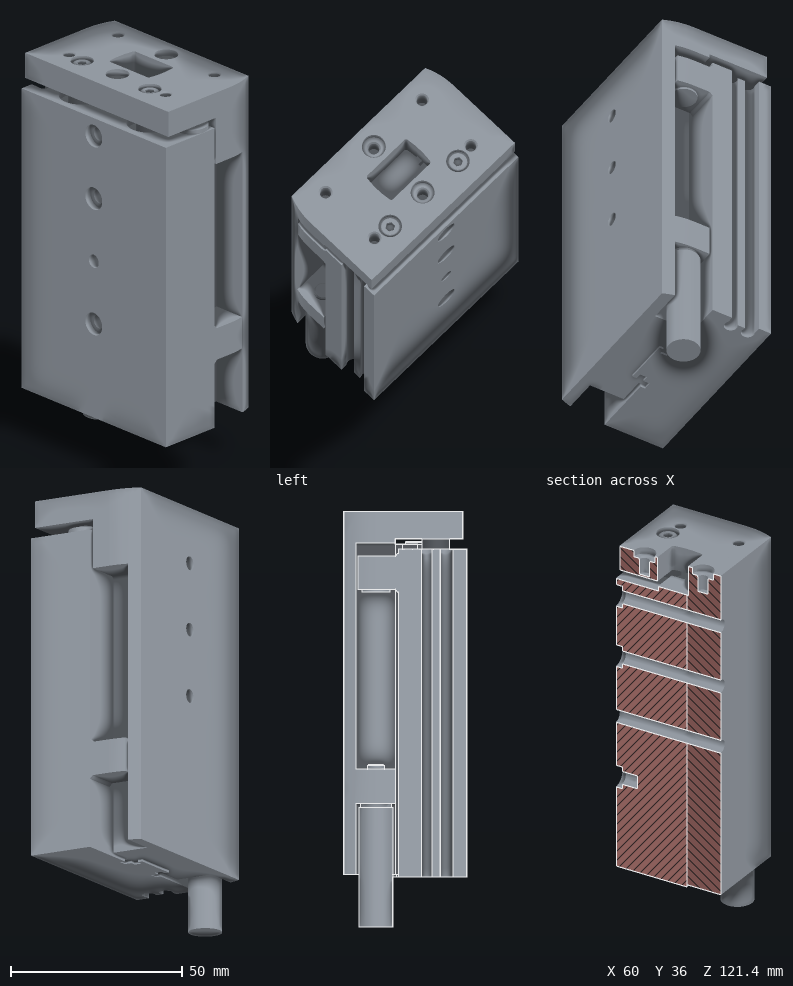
import cadquery as cq
import math

TOTAL_HEIGHT = 121.4
TOTAL_DEPTH = 36.0

HOUSING_HALF_WIDTH = 30.0
HOUSING_DEPTH = 20.0
HOUSING_BOTTOM = 14.6
HOUSING_TOP = 110.4

TABLE_HALF_WIDTH = 29.7
TABLE_FRONT = 20.9
TABLE_BOTTOM = 15.3
BACK_PLATE_FRONT = 32.4
END_PLATE_FRONT = 1.2
END_PLATE_BOTTOM = TOTAL_HEIGHT - 8.0
SIDE_ARC_START = 26.6
SIDE_ARC_RADIUS = 23.4

CORE_HALF_WIDTH = 18.1
LIP_HALF_WIDTH = 9.7
LIP_FRONT = 18.8
LIP_CLEARANCE = 0.4
POCKET_FILLET = 1.0
POCKET_TOP = 112.2
BRACKET_TOP = 46.1
BRACKET_BOTTOM = 36.0
POCKET_OUTER = TABLE_HALF_WIDTH + 1.2

STOP_TOP = 108.3
STOP_BOTTOM = 98.6
STOP_BACK = 31.8
STOP_INNER = 18.9
STOP_WEB = 1.0
BUMPER_DIAMETER = 8.1
BUMPER_HEIGHT = 0.7

RAIL_HALF_WIDTH = 7.5
RAIL_NECK_HALF_WIDTH = 5.6
RAIL_FRONT = 14.5
RAIL_BACK = 24.4
RAIL_TOP = 111.8
BALL_GROOVE_FRONT = 20.6
BALL_GROOVE_BACK = 23.0
WINDOW_FRONT = 14.3
WINDOW_BACK = 24.8
WINDOW_HALF_WIDTH = 8.3
WINDOW_BULGE_HALF_WIDTH = 8.7
WINDOW_CORNER_RADIUS = 0.7

SLOT_BAND_FRONT = 4.1
SLOT_BAND_BACK = 13.4
SLOT_BAND_DEPTH = 2.0
FRONT_SLOT_WIDTH = 3.6
BACK_SLOT_WIDTH = 3.2
SLOT_BORE_DIAMETER = 4.0
SLOT_BORE_INSET = 3.3

HOLE_PITCH = 20.0
HOLE_DIAMETER = 4.1
COUNTERBORE_DIAMETER = 7.0
COUNTERBORE_DEPTH = 2.1
MOUNT_TOP_Z = 104.6
MOUNT_BLIND_DEPTH = 7.3
TAP_DIAMETER = 3.3
TAP_DEPTH = 7.3
PLATE_HOLE_FRONT_Y = 9.7

ROD_X = 14.1
ROD_Y = 9.1
ROD_DIAMETER = 8.1
ROD_BOTTOM = 60.7
ROD_NECK_DIAMETER = 5.5
ROD_NECK_TOP = TOTAL_HEIGHT - 0.7
ROD_POCKET_DIAMETER = 6.9
ROD_POCKET_DEPTH = 1.7
HEX_ACROSS_FLATS = 2.5
HEX_DEPTH = 2.0
ROD_NECK_CHAMFER = 0.2
GLAND_DIAMETER = 13.6
GLAND_DEPTH = 2.4

ADJUSTER_DIAMETER = 10.0
ADJUSTER_SHANK_DIAMETER = 5.0
BARREL_NECK_DIAMETER = 9.0
BARREL_NECK_HEIGHT = 1.2
SHANK_CHAMFER = 0.4
LONG_ADJUSTER_X = -24.4
LONG_ADJUSTER_Y = 26.6
LONG_ADJUSTER_TIP = 47.5
SHORT_ADJUSTER_X = 24.9
SHORT_ADJUSTER_Y = 15.5
SHORT_ADJUSTER_BOTTOM = 99.5
SHORT_COLLAR_TOP = 111.7
SHORT_ADJUSTER_TIP = 112.7


def box(x0, x1, y0, y1, z0, z1):
    """Box given by its limits along X, Y and Z."""
    return cq.Workplane("XY").box(x1 - x0, y1 - y0, z1 - z0, centered=False).translate((x0, y0, z0))


def cylinder(x, y, diameter, z0, z1):
    """Upright cylinder between two heights."""
    return cq.Workplane("XY", origin=(x, y, z0)).circle(diameter / 2).extrude(z1 - z0)


def side_x(half_width, y):
    """Half width of the rounded side profile at depth y."""
    offset = y - SIDE_ARC_START
    return half_width - SIDE_ARC_RADIUS + math.sqrt(SIDE_ARC_RADIUS**2 - offset**2)


def rounded_slab(half_width, inner_x, y0, y1, z0, z1):
    """Upright slab from inner_x to the rounded +X side."""
    y_mid = (SIDE_ARC_START + y1) / 2
    return (
        cq.Workplane("XY", origin=(0, 0, z0))
        .moveTo(inner_x, y0)
        .lineTo(half_width, y0)
        .lineTo(half_width, SIDE_ARC_START)
        .threePointArc((side_x(half_width, y_mid), y_mid), (side_x(half_width, y1), y1))
        .lineTo(inner_x, y1)
        .close()
        .extrude(z1 - z0)
    )


def mirrored(shape):
    """Copy of a shape on the opposite X side."""
    return shape.mirror("YZ")



def stop_arm(z0, z1):
    """Arm on the +X side that reaches back into a table pocket, with small webs at its root."""
    arm = rounded_slab(HOUSING_HALF_WIDTH, STOP_INNER, HOUSING_DEPTH, STOP_BACK, z0, z1)
    web = (
        cq.Workplane("YZ", origin=(STOP_INNER, 0, 0))
        .moveTo(HOUSING_DEPTH, z0 - STOP_WEB)
        .lineTo(HOUSING_DEPTH + STOP_WEB, z0)
        .lineTo(HOUSING_DEPTH + STOP_WEB, z1)
        .lineTo(HOUSING_DEPTH, z1 + STOP_WEB)
        .close()
        .extrude(HOUSING_HALF_WIDTH - STOP_INNER)
    )
    return arm.union(web)


def guide_rail(z0, z1):
    """Stretch of the rail profile, with a ball groove on each side."""
    rail = box(-RAIL_HALF_WIDTH, RAIL_HALF_WIDTH, RAIL_FRONT, RAIL_BACK, z0, z1)
    groove = box(
        RAIL_NECK_HALF_WIDTH, RAIL_HALF_WIDTH, BALL_GROOVE_FRONT, BALL_GROOVE_BACK, z0, z1
    )
    return rail.cut(groove).cut(mirrored(groove))


def sensor_slots():
    """Shallow band on the -X side with two round-bottomed slots in it."""
    outer = -HOUSING_HALF_WIDTH
    slots = box(
        outer, outer + SLOT_BAND_DEPTH, SLOT_BAND_FRONT, SLOT_BAND_BACK, HOUSING_BOTTOM, HOUSING_TOP
    )
    bore_x = outer + SLOT_BORE_INSET
    front_slot = (SLOT_BAND_FRONT, SLOT_BAND_FRONT + FRONT_SLOT_WIDTH)
    back_slot = (SLOT_BAND_BACK - BACK_SLOT_WIDTH, SLOT_BAND_BACK)
    for y0, y1 in (front_slot, back_slot):
        mouth = box(outer, bore_x, y0, y1, HOUSING_BOTTOM, HOUSING_TOP)
        bore = cylinder(bore_x, (y0 + y1) / 2, SLOT_BORE_DIAMETER, HOUSING_BOTTOM, HOUSING_TOP)
        slots = slots.union(mouth).union(bore)
    return slots


def hole_along_y(z, diameter, y0, y1):
    """Round hole on the centre plane, running along Y."""
    return cq.Workplane("XZ", origin=(0, y0, z)).circle(diameter / 2).extrude(y0 - y1)


MOUNT_HOLE_Z = [MOUNT_TOP_Z - i * HOLE_PITCH for i in range(4)]
THROUGH_HOLE_Z = MOUNT_HOLE_Z[:3]
BLIND_HOLE_Z = MOUNT_HOLE_Z[3]
COUNTERBORED_Z = MOUNT_HOLE_Z[:2] + MOUNT_HOLE_Z[3:]


def make_housing():
    body = box(
        -HOUSING_HALF_WIDTH, HOUSING_HALF_WIDTH, 0, HOUSING_DEPTH, HOUSING_BOTTOM, HOUSING_TOP
    )
    lip_slot_half = LIP_HALF_WIDTH + LIP_CLEARANCE
    lip_slot_front = LIP_FRONT - LIP_CLEARANCE
    body = body.cut(
        box(-lip_slot_half, lip_slot_half, lip_slot_front, HOUSING_DEPTH, HOUSING_BOTTOM, HOUSING_TOP)
    )
    body = body.union(guide_rail(HOUSING_BOTTOM, RAIL_TOP))
    body = body.union(mirrored(stop_arm(STOP_BOTTOM, STOP_TOP)))
    body = body.union(stop_arm(BRACKET_BOTTOM, BRACKET_TOP))
    body = body.union(
        cylinder(LONG_ADJUSTER_X, LONG_ADJUSTER_Y, BUMPER_DIAMETER, STOP_BOTTOM - BUMPER_HEIGHT, STOP_BOTTOM)
    )
    body = body.cut(sensor_slots())
    for z in THROUGH_HOLE_Z:
        body = body.cut(hole_along_y(z, HOLE_DIAMETER, 0, RAIL_BACK))
    body = body.cut(hole_along_y(BLIND_HOLE_Z, HOLE_DIAMETER, 0, MOUNT_BLIND_DEPTH))
    for z in COUNTERBORED_Z:
        body = body.cut(hole_along_y(z, COUNTERBORE_DIAMETER, 0, COUNTERBORE_DEPTH))
    for side in (-1, 1):
        x = side * ROD_X
        body = body.cut(cylinder(x, ROD_Y, ROD_DIAMETER, ROD_BOTTOM, HOUSING_TOP))
        body = body.cut(cylinder(x, ROD_Y, GLAND_DIAMETER, HOUSING_TOP - GLAND_DEPTH, HOUSING_TOP))
    shank_hole = cylinder(
        SHORT_ADJUSTER_X, SHORT_ADJUSTER_Y, ADJUSTER_SHANK_DIAMETER, SHORT_ADJUSTER_BOTTOM, HOUSING_TOP
    )
    return body.cut(shank_hole)



def side_pocket(z0, z1, filleted_ends):
    """Pocket in the +X side of the table; the chosen ends are rounded at the core."""
    pocket = box(CORE_HALF_WIDTH, POCKET_OUTER, TABLE_FRONT, BACK_PLATE_FRONT, z0, z1)
    for end in filleted_ends:
        pocket = pocket.faces(end).edges("<X").fillet(POCKET_FILLET)
    return pocket


def window():
    """Opening through the end plate with bulging sides."""
    y_mid = (WINDOW_FRONT + WINDOW_BACK) / 2
    return (
        cq.Workplane("XY", origin=(0, 0, RAIL_TOP))
        .moveTo(-WINDOW_HALF_WIDTH, WINDOW_FRONT)
        .lineTo(WINDOW_HALF_WIDTH, WINDOW_FRONT)
        .threePointArc((WINDOW_BULGE_HALF_WIDTH, y_mid), (WINDOW_HALF_WIDTH, WINDOW_BACK))
        .lineTo(-WINDOW_HALF_WIDTH, WINDOW_BACK)
        .threePointArc((-WINDOW_BULGE_HALF_WIDTH, y_mid), (-WINDOW_HALF_WIDTH, WINDOW_FRONT))
        .close()
        .extrude(TOTAL_HEIGHT - RAIL_TOP)
        .edges("|Z")
        .fillet(WINDOW_CORNER_RADIUS)
    )


def lead_in(x, y, mouth_z):
    """45 degree countersink that widens a tapped hole at its mouth."""
    depth = (HOLE_DIAMETER - TAP_DIAMETER) / 2
    base = cq.Vector(x, y, mouth_z - depth)
    return cq.Workplane(cq.Solid.makeCone(TAP_DIAMETER / 2, HOLE_DIAMETER / 2, depth, base))


def plate_holes():
    """Two rows of tapped holes in the end plate; the middle ones are counterbored."""
    holes = cq.Workplane("XY")
    for y in (PLATE_HOLE_FRONT_Y, PLATE_HOLE_FRONT_Y + HOLE_PITCH):
        for x in (-HOLE_PITCH, 0, HOLE_PITCH):
            mouth_z = TOTAL_HEIGHT
            if x == 0:
                mouth_z = TOTAL_HEIGHT - COUNTERBORE_DEPTH
                holes = holes.union(cylinder(x, y, COUNTERBORE_DIAMETER, mouth_z, TOTAL_HEIGHT))
            holes = holes.union(cylinder(x, y, TAP_DIAMETER, TOTAL_HEIGHT - TAP_DEPTH, mouth_z))
            holes = holes.union(lead_in(x, y, mouth_z))
    return holes


def make_table():
    half = rounded_slab(TABLE_HALF_WIDTH, 0, TABLE_FRONT, TOTAL_DEPTH, TABLE_BOTTOM, TOTAL_HEIGHT)
    half = half.union(
        rounded_slab(TABLE_HALF_WIDTH, 0, END_PLATE_FRONT, TOTAL_DEPTH, END_PLATE_BOTTOM, TOTAL_HEIGHT)
    )
    body = half.union(mirrored(half))
    body = body.union(
        box(-LIP_HALF_WIDTH, LIP_HALF_WIDTH, LIP_FRONT, TABLE_FRONT, TABLE_BOTTOM, RAIL_TOP)
    )
    body = body.cut(mirrored(side_pocket(BRACKET_TOP, POCKET_TOP, ("<Z", ">Z"))))
    body = body.cut(mirrored(side_pocket(TABLE_BOTTOM, BRACKET_BOTTOM, (">Z",))))
    body = body.cut(side_pocket(TABLE_BOTTOM, STOP_BOTTOM, (">Z",)))
    body = body.cut(guide_rail(TABLE_BOTTOM, END_PLATE_BOTTOM))
    body = body.cut(window()).cut(plate_holes())
    for z in THROUGH_HOLE_Z:
        body = body.cut(hole_along_y(z, HOLE_DIAMETER, TABLE_FRONT, TOTAL_DEPTH))
    for side in (-1, 1):
        x = side * ROD_X
        body = body.cut(cylinder(x, ROD_Y, ROD_NECK_DIAMETER, END_PLATE_BOTTOM, TOTAL_HEIGHT))
        body = body.cut(
            cylinder(x, ROD_Y, ROD_POCKET_DIAMETER, TOTAL_HEIGHT - ROD_POCKET_DEPTH, TOTAL_HEIGHT)
        )
    shank_hole = cylinder(
        LONG_ADJUSTER_X, LONG_ADJUSTER_Y, ADJUSTER_SHANK_DIAMETER, BRACKET_BOTTOM, BRACKET_TOP
    )
    return body.cut(shank_hole)



def make_rod(x):
    """Rod with a neck through the end plate and a hexagon socket in its top."""
    rod = cylinder(x, ROD_Y, ROD_DIAMETER, ROD_BOTTOM, END_PLATE_BOTTOM)
    neck = cylinder(x, ROD_Y, ROD_NECK_DIAMETER, END_PLATE_BOTTOM, ROD_NECK_TOP)
    rod = rod.union(neck.faces(">Z").chamfer(ROD_NECK_CHAMFER))
    socket = (
        cq.Workplane("XY", origin=(x, ROD_Y, ROD_NECK_TOP))
        .transformed(rotate=(0, 0, 30))
        .polygon(6, HEX_ACROSS_FLATS / math.cos(math.pi / 6))
        .extrude(-HEX_DEPTH)
    )
    return rod.cut(socket)



def make_long_adjuster():
    """Adjuster below the -X bracket, with its shank passing up through the bracket."""
    x, y = LONG_ADJUSTER_X, LONG_ADJUSTER_Y
    barrel_top = BRACKET_BOTTOM - BARREL_NECK_HEIGHT
    barrel = cylinder(x, y, ADJUSTER_DIAMETER, 0, barrel_top)
    barrel = barrel.union(cylinder(x, y, BARREL_NECK_DIAMETER, barrel_top, BRACKET_BOTTOM))
    shank = cylinder(x, y, ADJUSTER_SHANK_DIAMETER, BRACKET_BOTTOM, LONG_ADJUSTER_TIP)
    return barrel.union(shank.faces(">Z").chamfer(SHANK_CHAMFER))


def make_short_adjuster():
    """Adjuster in the top of the housing on the +X side, with a collar resting on the housing."""
    x, y = SHORT_ADJUSTER_X, SHORT_ADJUSTER_Y
    collar = cylinder(x, y, ADJUSTER_DIAMETER, HOUSING_TOP, SHORT_COLLAR_TOP)
    shank = cylinder(x, y, ADJUSTER_SHANK_DIAMETER, SHORT_ADJUSTER_BOTTOM, SHORT_ADJUSTER_TIP)
    return collar.union(shank.faces(">Z").chamfer(SHANK_CHAMFER))


housing = make_housing()
table = make_table()
rods = [make_rod(side * ROD_X) for side in (-1, 1)]
long_adjuster = make_long_adjuster()
short_adjuster = make_short_adjuster()

result = cq.Compound.makeCompound(
    [
        housing.val(),
        table.val(),
        *[rod.val() for rod in rods],
        long_adjuster.val(),
        short_adjuster.val(),
    ]
)